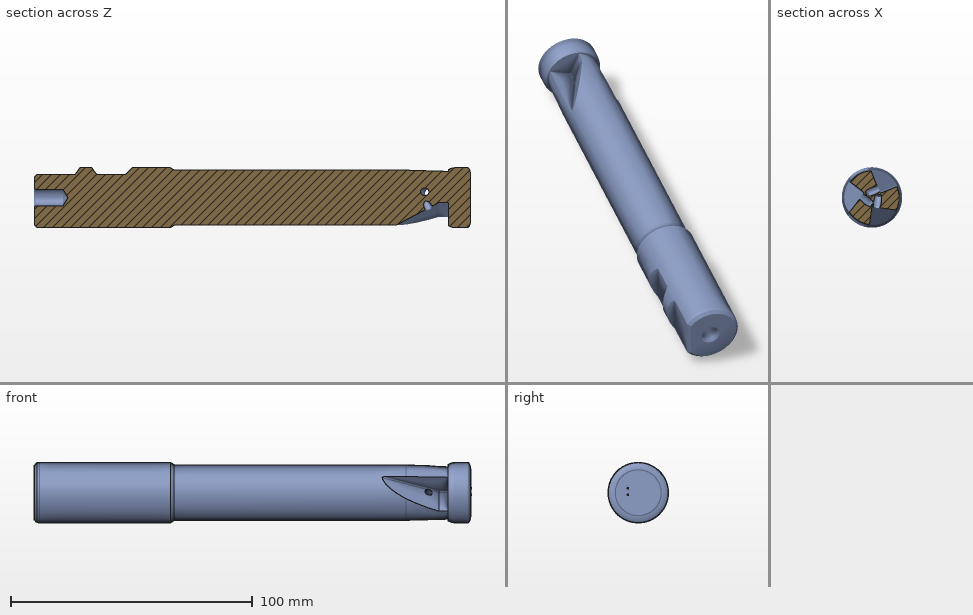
import cadquery as cq
import math

head_end = 180.7
overall_length = 180.98

shank_radius = 25.0 / 2
shank_length = 56.4
end_chamfer = 1.2
lead_in_length = 2.3
lead_in_drop = 0.1
neck_radius = 23.0 / 2
neck_start = 58.0

flat_height = 9.75
steep_run = 2.0
shallow_run = 2.75
rear_flat_end = 17.0
front_flat_start = 25.9
front_flat_end = 37.9

centre_hole_radius = 6.5 / 2
centre_sink_radius = 4.0
centre_hole_depth = 12.0
drill_tip_angle = 118.0

taper_start = 153.9
taper_end_radius = 11.0
head_start = 171.3
head_back_radius = 11.7
head_radius = 25.03 / 2
head_rim_start = 174.3
head_rim_end = 179.2
head_corner = (180.25, 11.6)
head_face_radius = 9.5
head_back_slope = 0.5
head_corner_slope = -3.0

flute_count = 3
wall_angle = 142.0
flute_start = 143.9
flute_run_out = 167.5
flute_floor_radius = 1.65
flute_wall_offset = 0.5
flute_corner_radius = 0.6
flute_width = 2 * shank_radius
flute_clearance = 10.0

coolant_radius = 3.0 / 2
coolant_position = 163.25
coolant_offset = 1.9
coolant_depth = 5.0

nub_radius = 0.3
nub_root = 1.0
nub_y = -4.25
nub_heights = (1.8, -0.85)


def make_body():
    """Shank, neck, taper and head as one turned profile."""
    chamfer_top = shank_radius - lead_in_drop
    head_curve = [
        (head_rim_start, head_radius),
        (head_rim_end, head_radius),
        head_corner,
        (head_end, head_face_radius),
    ]
    head_directions = [
        (1, head_back_slope),
        (1, 0),
        (1, 0),
        (1, head_corner_slope),
        (0, -1),
    ]
    return (
        cq.Workplane("XY")
        .moveTo(0, 0)
        .lineTo(0, chamfer_top - end_chamfer)
        .lineTo(end_chamfer, chamfer_top)
        .lineTo(lead_in_length, shank_radius)
        .lineTo(shank_length, shank_radius)
        .lineTo(neck_start, neck_radius)
        .lineTo(taper_start, neck_radius)
        .lineTo(head_start, taper_end_radius)
        .lineTo(head_start, head_back_radius)
        .spline(head_curve, tangents=head_directions, includeCurrent=True)
        .lineTo(head_end, 0)
        .close()
        .revolve(360, (0, 0, 0), (1, 0, 0))
    )


def make_flat_cutter():
    """Material above both clamping flats, with the rear flat bevelled at the end face."""
    rear = [
        (0, flat_height - end_chamfer),
        (end_chamfer, flat_height),
        (rear_flat_end, flat_height),
        (rear_flat_end + steep_run, shank_radius),
        (0, shank_radius),
    ]
    front = [
        (front_flat_start, flat_height),
        (front_flat_end, flat_height),
        (front_flat_end + shallow_run, shank_radius),
        (front_flat_start - steep_run, shank_radius),
    ]
    rear_cutter = cq.Workplane("XY").polyline(rear).close().extrude(shank_radius, both=True)
    front_cutter = cq.Workplane("XY").polyline(front).close().extrude(shank_radius, both=True)
    return rear_cutter.union(front_cutter)


def make_centre_hole():
    """Countersunk blind hole with a conical drill tip."""
    tip_length = centre_hole_radius / math.tan(math.radians(drill_tip_angle / 2))
    sink_depth = centre_sink_radius - centre_hole_radius
    return (
        cq.Workplane("XY")
        .moveTo(0, 0)
        .lineTo(0, centre_sink_radius)
        .lineTo(sink_depth, centre_hole_radius)
        .lineTo(centre_hole_depth, centre_hole_radius)
        .lineTo(centre_hole_depth + tip_length, 0)
        .close()
        .revolve(360, (0, 0, 0), (1, 0, 0))
    )


def make_flute_cutter():
    """Flute with its wall parallel to the XY plane, open towards +Y, plus its coolant hole."""
    slope = (neck_radius - flute_floor_radius) / (flute_run_out - flute_start)
    outside = neck_radius + flute_clearance
    profile = [
        (flute_start - flute_clearance / slope, outside),
        (flute_run_out, flute_floor_radius),
        (head_start, flute_floor_radius),
        (head_start, outside),
    ]
    floor_edges = cq.selectors.BoxSelector(
        (profile[0][0], 0, flute_wall_offset - flute_corner_radius),
        (head_start - flute_corner_radius, outside, flute_wall_offset + flute_corner_radius),
    )
    flute = (
        cq.Workplane("XY", origin=(0, 0, flute_wall_offset))
        .polyline(profile)
        .close()
        .extrude(flute_width)
        .edges(floor_edges)
        .fillet(flute_corner_radius)
    )

    floor_height = flute_floor_radius + (flute_run_out - coolant_position) * slope
    floor_normal = cq.Vector(slope, 1, 0).normalized()
    floor_point = cq.Vector(coolant_position, floor_height, flute_wall_offset + coolant_offset)
    hole = cq.Solid.makeCylinder(
        coolant_radius,
        coolant_depth,
        floor_point,
        -floor_normal,
    )
    return flute.union(cq.Workplane(hole))


def make_nubs():
    """Two small nubs standing on the end face of the head."""
    return (
        cq.Workplane("YZ", origin=(head_end - nub_root, 0, 0))
        .pushPoints([(nub_y, height) for height in nub_heights])
        .circle(nub_radius)
        .extrude(overall_length - head_end + nub_root)
    )


result = make_body().cut(make_flat_cutter()).cut(make_centre_hole())
flute_cutter = make_flute_cutter()
for index in range(flute_count):
    angle = wall_angle + index * 360 / flute_count
    result = result.cut(flute_cutter.rotate((0, 0, 0), (1, 0, 0), angle))
result = result.union(make_nubs())